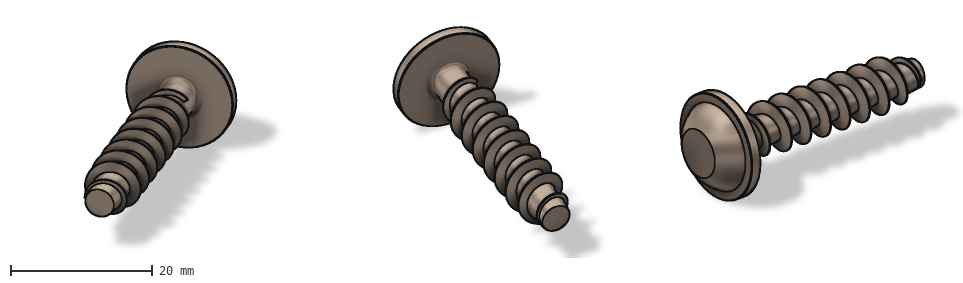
import cadquery as cq
import math

total_length = 39.8

flange_radius = 8.0
flange_thickness = 1.7
flange_edge_chamfer = 0.1
dome_height = 3.2
dome_base_radius = 6.6
dome_top_radius = 3.65

shank_radius = 2.65
shank_length = 3.95
neck_fillet = 0.9

pitch = 3.6
core_radius = 2.15
ridge_high_radius = 2.63
ridge_low_radius = 2.23
ridge_length = 3.2
ridge_start, ridge_end = -0.9, 9.0
inner_radius = 1.8

thread_radius = flange_radius / 2
tooth_flank_slope = 0.3
tooth_crest_width = 0.2
tooth_depth = 2.1
thread_origin = 3.5
run_in_radius = 3.2
run_out_radius = 2.55
run_in_start, full_start, full_end, run_out_end = 0.1, 1.25, 7.25, 8.5

head_height = flange_thickness + dome_height
tip_depth = total_length - head_height


def make_blank():
    """Head, shank and plain core revolved about the Y axis."""
    centre_rise = (dome_top_radius**2 + dome_height**2 - dome_base_radius**2) / (2 * dome_height)
    dome_radius = math.hypot(dome_base_radius, centre_rise)
    middle_radius = (dome_base_radius + dome_top_radius) / 2
    middle_rise = centre_rise + math.sqrt(dome_radius**2 - middle_radius**2)
    fillet_offset = neck_fillet * (1 - math.sqrt(0.5))
    outline = (
        cq.Workplane("XY")
        .moveTo(0, -tip_depth)
        .lineTo(core_radius, -tip_depth)
        .lineTo(core_radius, -shank_length - pitch / 2)
        .lineTo(shank_radius, -shank_length)
        .lineTo(shank_radius, -neck_fillet)
        .threePointArc(
            (shank_radius + fillet_offset, -fillet_offset),
            (shank_radius + neck_fillet, 0),
        )
        .lineTo(flange_radius - flange_edge_chamfer, 0)
        .lineTo(flange_radius, flange_edge_chamfer)
        .lineTo(flange_radius, flange_thickness - flange_edge_chamfer)
        .lineTo(flange_radius - flange_edge_chamfer, flange_thickness)
        .lineTo(dome_base_radius, flange_thickness)
        .threePointArc((middle_radius, flange_thickness + middle_rise), (dome_top_radius, head_height))
        .lineTo(0, head_height)
        .close()
    )
    return outline.revolve(360, (0, 0, 0), (0, 1, 0))


def helix_edge(radius, depth, start_turn, end_turn, radius_change):
    """Helix about Z whose radius changes evenly; depth is where turn 0 would cross the X axis."""
    height = (end_turn - start_turn) * pitch
    if radius_change == 0:
        helix = cq.Wire.makeHelix(pitch, height, radius)
    else:
        cone_angle = math.atan2(abs(radius_change), height)
        stretch = 1 / math.cos(cone_angle)
        small_radius = min(radius, radius + radius_change)
        helix = cq.Wire.makeHelix(
            pitch * stretch, height * stretch, small_radius, angle=math.degrees(cone_angle)
        )
    first_turn = start_turn
    if radius_change < 0:
        helix = helix.rotate(cq.Vector(), cq.Vector(1, 0, 0), 180)
        first_turn = end_turn
    helix = helix.rotate(cq.Vector(), cq.Vector(0, 0, 1), 360 * first_turn)
    return helix.translate(cq.Vector(0, 0, depth + first_turn * pitch)).Edges()[0]


def helical_solid(profile, start_turn, end_turn, radius_change=0):
    """Wind a (radius, depth) polygon about Z, with ruled faces between the corner helices."""
    helices = [helix_edge(r, d, start_turn, end_turn, radius_change) for r, d in profile]
    faces = [cq.Face.makeRuledSurface(a, b) for a, b in zip(helices, helices[1:] + helices[:1])]
    for position in (0, 1):
        corners = [helix.positionAt(position) for helix in helices]
        faces.append(cq.Face.makeFromWires(cq.Wire.makePolygon(corners, close=True)))
    solid = cq.Solid.makeSolid(cq.Shell.makeShell(faces))
    return cq.Workplane(solid.fix())


def single_turns(profile, start_turn, end_turn):
    """Straight winding divided into solids of about one turn, which join the core reliably."""
    count = math.ceil(end_turn - start_turn)
    step = (end_turn - start_turn) / count
    return [
        helical_solid(profile, start_turn + i * step, start_turn + (i + 1) * step) for i in range(count)
    ]


def tooth_profile(crest_radius):
    """Trapezoidal tooth, buried at its base, with its middle on the thread origin."""
    half_crest = tooth_crest_width / 2
    half_base = half_crest + tooth_depth * tooth_flank_slope
    base_radius = crest_radius - tooth_depth
    return [
        (base_radius, thread_origin - half_base),
        (crest_radius, thread_origin - half_crest),
        (crest_radius, thread_origin + half_crest),
        (base_radius, thread_origin + half_base),
    ]


def make_ridge():
    """Sawtooth ridge: widest just below each tooth, narrowing towards the next one."""
    profile = [
        (inner_radius, thread_origin),
        (ridge_high_radius, thread_origin),
        (ridge_low_radius, thread_origin + ridge_length),
        (inner_radius, thread_origin + ridge_length),
    ]
    tip_limit = (
        cq.Workplane("XZ")
        .lineTo(ridge_high_radius, 0)
        .lineTo(ridge_high_radius, tip_depth - pitch)
        .lineTo(core_radius, tip_depth)
        .lineTo(0, tip_depth)
        .close()
        .revolve(360, (0, 0, 0), (0, 1, 0))
    )
    return [turn.intersect(tip_limit) for turn in single_turns(profile, ridge_start, ridge_end)]


def make_thread():
    """Tooth pieces: growing run-in, full-height turns and fading run-out."""
    return [
        helical_solid(tooth_profile(run_in_radius), run_in_start, full_start, thread_radius - run_in_radius),
        *single_turns(tooth_profile(thread_radius), full_start, full_end),
        helical_solid(tooth_profile(thread_radius), full_end, run_out_end, run_out_radius - thread_radius),
    ]


result = make_blank()
for helical_part in make_ridge() + make_thread():
    result = result.union(helical_part.rotate((0, 0, 0), (1, 0, 0), 90))